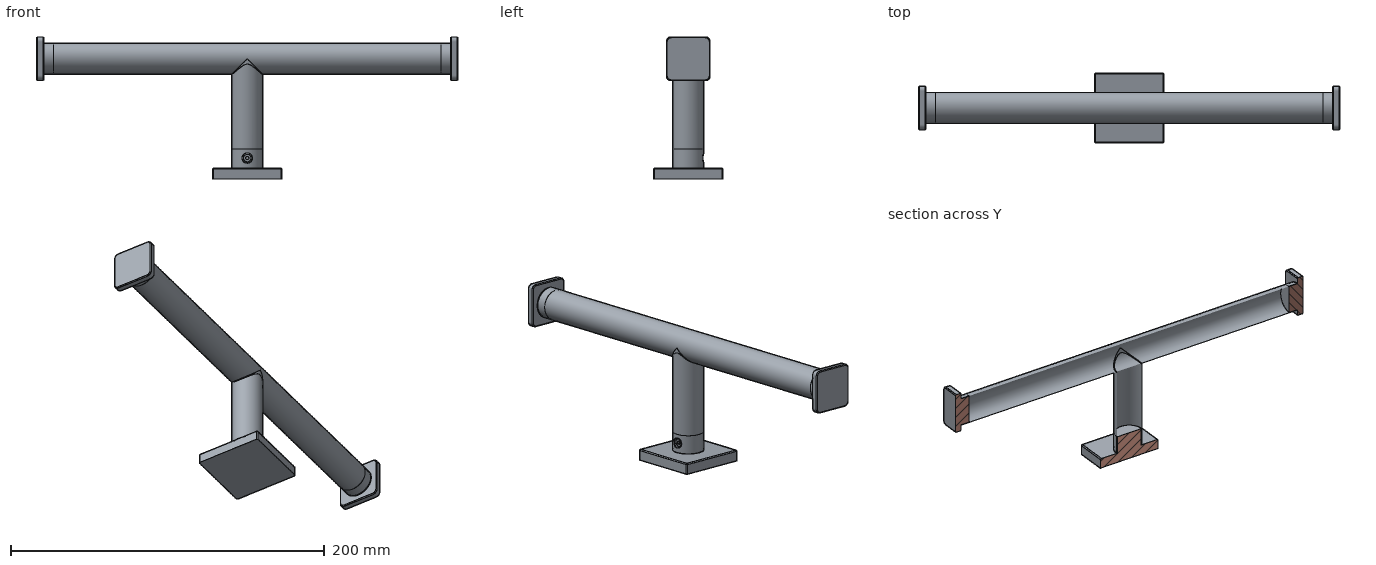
import cadquery as cq
import math

BASE_SIZE = 44.45
BASE_THICKNESS = 7.14
BASE_EDGE_CHAMFER = 0.7

OVERALL_LENGTH = 268.22
OVERALL_HEIGHT = 90.74

CAP_SIZE = 28.0
CAP_THICKNESS = 4.5
CAP_CORNER_RADIUS = 3.2
CAP_EDGE_CHAMFER = 0.6

TUBE_DIAMETER = 20.0
TUBE_WALL = 0.6
TUBE_RADIUS = TUBE_DIAMETER / 2
BORE_RADIUS = TUBE_RADIUS - TUBE_WALL

CAP_PLUG_LENGTH = 6.35
BASE_PLUG_LENGTH = 12.0

SCREW_DIAMETER = 6.6
SCREW_HEIGHT = 6.35
SCREW_LENGTH = 6.0
SCREW_FRONT_CHAMFER = 0.9
SCREW_RECESS = 1.5
SCREW_SOCKET_FLATS = 2.0
HEX_SIDES = 6
SCREW_SOCKET_DEPTH = 2.5

BAR_LENGTH = OVERALL_LENGTH - 2 * CAP_THICKNESS
BAR_AXIS_Z = OVERALL_HEIGHT - CAP_SIZE / 2
SCREW_Z = BASE_THICKNESS + SCREW_HEIGHT
SCREW_FRONT_Y = -TUBE_RADIUS + SCREW_RECESS


def bar_cylinder(radius):
    """Solid cylinder along the bar axis, as long as the bar."""
    return (
        cq.Workplane("YZ", origin=(-BAR_LENGTH / 2, 0, BAR_AXIS_Z))
        .circle(radius)
        .extrude(BAR_LENGTH)
    )


def make_bar():
    """Straight thin-walled tube, open at both ends."""
    return bar_cylinder(TUBE_RADIUS).cut(bar_cylinder(BORE_RADIUS))


def screw_cylinder(front_y, back_y, diameter):
    """Cylinder along Y at the height of the set screw."""
    return (
        cq.Workplane("XZ", origin=(0, front_y, SCREW_Z))
        .circle(diameter / 2)
        .extrude(front_y - back_y)
    )


def make_screw_hole():
    """Radial hole from outside the post to the inner end of the screw."""
    return screw_cylinder(-TUBE_DIAMETER, SCREW_FRONT_Y + SCREW_LENGTH, SCREW_DIAMETER)


def make_post():
    """Tube standing on the base, its upper end saddled around the bar."""
    tube = (
        cq.Workplane("XY", origin=(0, 0, BASE_THICKNESS))
        .circle(TUBE_RADIUS)
        .circle(BORE_RADIUS)
        .extrude(BAR_AXIS_Z - BASE_THICKNESS)
    )
    return tube.cut(bar_cylinder(TUBE_RADIUS)).cut(make_screw_hole())


def make_base():
    """Square plate with a round plug that the post slides over, drilled for the set screw."""
    plate = (
        cq.Workplane("XY")
        .rect(BASE_SIZE, BASE_SIZE)
        .extrude(BASE_THICKNESS)
        .edges("|Z or >Z")
        .chamfer(BASE_EDGE_CHAMFER)
    )
    plug = (
        cq.Workplane("XY", origin=(0, 0, BASE_THICKNESS))
        .circle(BORE_RADIUS)
        .extrude(BASE_PLUG_LENGTH)
    )
    return plate.union(plug).cut(make_screw_hole())


def make_screw():
    """Set screw with a chamfered front end and a hexagonal drive socket."""
    body = (
        screw_cylinder(SCREW_FRONT_Y, SCREW_FRONT_Y + SCREW_LENGTH, SCREW_DIAMETER)
        .faces("<Y")
        .chamfer(SCREW_FRONT_CHAMFER)
    )
    socket_across_corners = SCREW_SOCKET_FLATS / math.cos(math.pi / HEX_SIDES)
    socket = (
        cq.Workplane("XZ", origin=(0, SCREW_FRONT_Y, SCREW_Z))
        .polygon(HEX_SIDES, socket_across_corners)
        .extrude(-SCREW_SOCKET_DEPTH)
    )
    return body.cut(socket)


def make_end_cap(side):
    """Square cap with a plug inside the bar; side is -1 or +1 along X."""
    outward = cq.Plane(
        origin=(side * BAR_LENGTH / 2, 0, BAR_AXIS_Z),
        xDir=(0, 1, 0),
        normal=(side, 0, 0),
    )
    plate = (
        cq.Workplane(outward)
        .rect(CAP_SIZE, CAP_SIZE)
        .extrude(CAP_THICKNESS)
        .edges("|X")
        .fillet(CAP_CORNER_RADIUS)
        .faces("<X or >X")
        .chamfer(CAP_EDGE_CHAMFER)
    )
    plug = cq.Workplane(outward).circle(BORE_RADIUS).extrude(-CAP_PLUG_LENGTH)
    return plate.union(plug)


base = make_base()
post = make_post()
bar = make_bar()
screw = make_screw()
end_caps = [make_end_cap(side) for side in (-1, 1)]

result = cq.Compound.makeCompound(
    [base.val(), post.val(), bar.val(), screw.val(), *[cap.val() for cap in end_caps]]
)